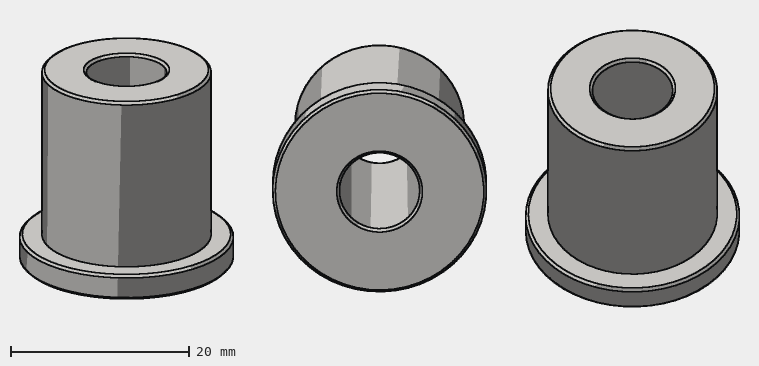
import cadquery as cq

flange_diameter = 24.0
flange_thickness = 3.0
body_diameter = 19.0
total_height = 23.0
bore_diameter = 9.0
edge_chamfer = 0.3

flange = (
    cq.Workplane("XY")
    .circle(flange_diameter / 2)
    .extrude(flange_thickness)
    .edges()
    .chamfer(edge_chamfer)
)

body = (
    cq.Workplane("XY")
    .circle(body_diameter / 2)
    .extrude(total_height)
    .faces(">Z")
    .edges()
    .chamfer(edge_chamfer)
)

bushing = flange.union(body).faces(">Z").workplane().hole(bore_diameter)
result = bushing.edges(cq.selectors.RadiusNthSelector(0)).chamfer(edge_chamfer)